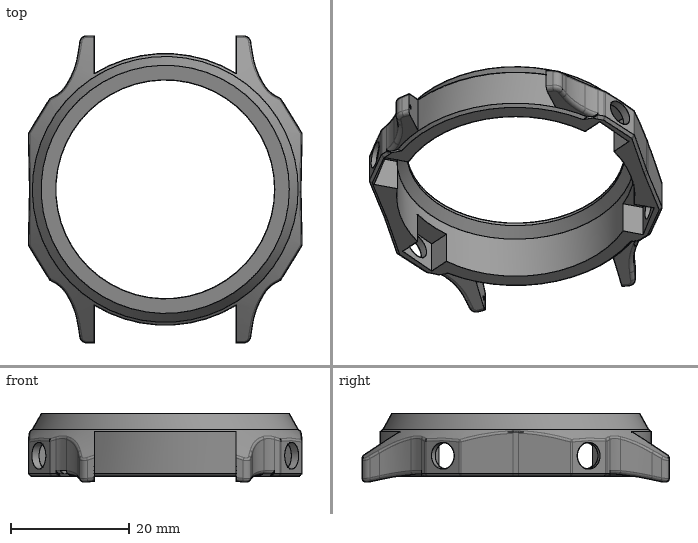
import cadquery as cq
import math

bezel_top_z = 10.65
bezel_base_z = 7.95
core_top_z = 7.5
lip_bottom_z = 10.05
bore_cone_bottom_z = 8.45

case_radius = 23.0
bezel_base_radius = 22.5
bezel_top_radius = 21.0
lip_radius = 18.5
bore_radius = 20.15

shoulder_slope = 0.735
underside_slope = 0.269
block_radius = 31.0
prism_half_height = 10.0
side_wall_mid_z = 1.7

flank_mid_half_width = 0.43
flank_corner = (23.185, 9.45)
face_corner = (19.55, 15.35)
hollow_start = (18.45, 15.95)
hollow_mid = (17.45, 16.75)
hollow_end = (16.7, 17.75)
lug_curve_mid = (15.45, 20.25)
lug_curve_end = (14.75, 23.1)
tip_side = (14.5, 24.7)
tip_round = 1.3
lug_tip_y = 26.0
lug_inner_x = 12.0

corner_round = 0.55
shoulder_round = 0.55
lug_bottom_round = 0.65
bottom_chamfer = 0.5

button_angle = 30.0
button_hole_diameter = 4.5
button_z = 3.5
pocket_width = 7.0
pocket_floor_distance = 23.35
deep_pocket_floor_distance = 23.9
pocket_top_z = 6.2

bar_hole_diameter = 0.7
bar_hole_depth = 1.0
bar_hole_y = 24.9
bar_hole_z = 1.35


def revolve_profile(points):
    """Solid of revolution about Z from (radius, z) points."""
    return cq.Workplane("XZ").polyline(points).close().revolve(360, (0, 0), (0, 1))


def case_prism():
    """Vertical prism of the plan outline, with the gaps between the lugs still filled."""
    flank_mid_x = math.sqrt(case_radius**2 - flank_mid_half_width**2)
    corner_inset = tip_round * (1 - math.sqrt(0.5))
    tip_mid = (tip_side[0] - corner_inset, lug_tip_y - corner_inset)
    tip_end = (tip_side[0] - tip_round, lug_tip_y)
    quarter = (
        cq.Workplane("XY")
        .workplane(offset=-prism_half_height)
        .lineTo(flank_mid_x, 0)
        .lineTo(flank_mid_x, flank_mid_half_width)
        .lineTo(*flank_corner)
        .lineTo(*face_corner)
        .lineTo(*hollow_start)
        .threePointArc(hollow_mid, hollow_end)
        .threePointArc(lug_curve_mid, lug_curve_end)
        .lineTo(*tip_side)
        .threePointArc(tip_mid, tip_end)
        .lineTo(0, lug_tip_y)
        .close()
        .extrude(2 * prism_half_height)
    )
    for x, y in (flank_corner, face_corner):
        corner_edge = cq.selectors.NearestToPointSelector((x, y, 0))
        quarter = quarter.edges(corner_edge).fillet(corner_round)
    half = quarter.union(quarter.mirror("XZ"))
    return half.union(half.mirror("YZ"))


def rim_edges(block, above):
    """Edges bounding the vertical side wall at its top (above) or its bottom."""
    side_faces = [face for face in block.faces().vals() if abs(face.normalAt().z) < 1e-6]
    rim = []
    for face in side_faces:
        for edge in face.Edges():
            is_vertical = abs(edge.tangentAt(0.5).z) > 0.99
            if not is_vertical and (edge.Center().z > side_wall_mid_z) == above:
                rim.append(edge)
    return block.newObject(rim)


def shouldered_block():
    """Prism topped by the conical shoulder, with its upper rim rounded."""
    shoulder_end_z = bezel_base_z - shoulder_slope * (block_radius - bezel_base_radius)
    envelope = revolve_profile([
        (0, -prism_half_height),
        (block_radius, -prism_half_height),
        (block_radius, shoulder_end_z),
        (bezel_base_radius, bezel_base_z),
        (0, bezel_base_z),
    ])
    block = case_prism().intersect(envelope)
    return rim_edges(block, True).fillet(shoulder_round)


def between_lugs_zone():
    """Box around the middle of the case, ending at the lug roots."""
    return cq.Workplane("XY").box(2 * block_radius, 2 * hollow_start[1], 2 * prism_half_height)


def below_case():
    """Space below the flat underside of the case."""
    slab = (2 * block_radius, 2 * block_radius, prism_half_height)
    return cq.Workplane("XY").box(*slab).translate((0, 0, -prism_half_height / 2))


def underside_cone():
    """Space below the lugs: their underside descends outwards from the case wall."""
    axis_z = bottom_chamfer + underside_slope * case_radius
    edge_z = bottom_chamfer - underside_slope * (block_radius - case_radius)
    return revolve_profile([
        (0, -prism_half_height),
        (block_radius, -prism_half_height),
        (block_radius, edge_z),
        (0, axis_z),
    ])


def case_wall(top_z):
    """Round case body with the chamfer along its bottom edge."""
    return revolve_profile([
        (0, 0),
        (case_radius - bottom_chamfer, 0),
        (case_radius, bottom_chamfer),
        (case_radius, top_z),
        (0, top_z),
    ])


def strap_gap_cutter():
    """Material to remove between the lugs, outside the round case wall."""
    span = cq.Workplane("XY").box(2 * lug_inner_x, 2 * block_radius, 2 * prism_half_height)
    return span.cut(case_wall(prism_half_height))


def case_with_lugs():
    """Flanks, lugs and round case body in one solid, before the bore is opened."""
    block = shouldered_block()
    flanks = rim_edges(block.cut(below_case()), False).chamfer(bottom_chamfer)
    lugs = rim_edges(block.cut(underside_cone()), False).fillet(lug_bottom_round)
    body = flanks.intersect(between_lugs_zone()).union(lugs.cut(between_lugs_zone()))
    return body.cut(strap_gap_cutter()).union(case_wall(core_top_z))


def bezel():
    """Conical ring on top of the case, still solid in the middle."""
    return revolve_profile([
        (0, bezel_base_z),
        (bezel_base_radius, bezel_base_z),
        (bezel_top_radius, bezel_top_z),
        (0, bezel_top_z),
    ])


def bore():
    """Through opening: a narrow lip at the top that flares to the full bore."""
    return revolve_profile([
        (0, 0),
        (bore_radius, 0),
        (bore_radius, bore_cone_bottom_z),
        (lip_radius, lip_bottom_z),
        (lip_radius, bezel_top_z),
        (0, bezel_top_z),
    ])


def button_opening(angle, floor_distance):
    """Inner pocket, open at the underside, and the round hole through its floor."""
    pocket = cq.Workplane("XY").box(
        floor_distance, pocket_width, pocket_top_z, centered=(False, True, False)
    )
    hole = (
        cq.Workplane("YZ")
        .center(0, button_z)
        .circle(button_hole_diameter / 2)
        .extrude(block_radius)
    )
    return pocket.union(hole).rotate((0, 0, 0), (0, 0, 1), angle)


def bar_hole_pair(side_y):
    """Blind spring-bar holes in the facing inner sides of two lugs."""
    return (
        cq.Workplane("YZ")
        .center(side_y * bar_hole_y, bar_hole_z)
        .circle(bar_hole_diameter / 2)
        .extrude(lug_inner_x + bar_hole_depth, both=True)
    )


button_openings = (
    (button_angle, deep_pocket_floor_distance),
    (180 - button_angle, pocket_floor_distance),
    (180 + button_angle, pocket_floor_distance),
    (-button_angle, pocket_floor_distance),
)

case = case_with_lugs().union(bezel()).cut(bore())
for angle, floor_distance in button_openings:
    case = case.cut(button_opening(angle, floor_distance))
for side in (1, -1):
    case = case.cut(bar_hole_pair(side))

result = case